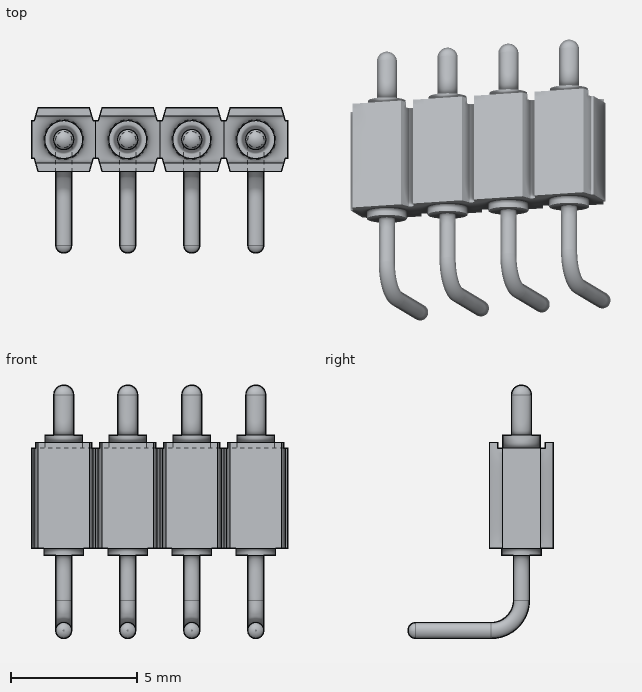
import cadquery as cq

pitch = 2.54
contact_count = 4

housing_depth = 2.54
housing_height = 4.2
side_face_width = 1.5
notch_step = 0.1
front_face_width = 2.04
channel_width = 1.87
channel_depth = 0.22

upper_collar_diameter = 1.5
upper_collar_top = 4.49
lower_collar_diameter = 1.58
lower_collar_height = 0.28

upper_pin_diameter = 0.8
upper_pin_top = 6.48

tail_diameter = 0.64
tail_tip_fillet = 0.3
bend_radius = 1.2
tail_axis_z = -3.26
tail_reach = 4.5


def make_housing():
    """Segment with notched corners and a channel along its top."""
    half_pitch = pitch / 2
    half_depth = housing_depth / 2
    half_side = side_face_width / 2
    half_front = front_face_width / 2
    notch_x = half_pitch - notch_step
    block = (
        cq.Workplane("XY")
        .moveTo(half_pitch, -half_side)
        .lineTo(half_pitch, half_side)
        .lineTo(notch_x, half_side)
        .lineTo(half_front, half_depth)
        .lineTo(-half_front, half_depth)
        .lineTo(-notch_x, half_side)
        .lineTo(-half_pitch, half_side)
        .lineTo(-half_pitch, -half_side)
        .lineTo(-notch_x, -half_side)
        .lineTo(-half_front, -half_depth)
        .lineTo(half_front, -half_depth)
        .lineTo(notch_x, -half_side)
        .close()
        .extrude(housing_height)
    )
    channel = (
        cq.Workplane("XY", origin=(0, 0, housing_height - channel_depth))
        .rect(pitch, channel_width)
        .extrude(channel_depth)
    )
    return block.cut(channel)


def make_upper_pin():
    """Collar and straight pin with a domed tip, rising from the channel floor."""
    channel_floor = housing_height - channel_depth
    pin_radius = upper_pin_diameter / 2
    dome_base = upper_pin_top - pin_radius
    collar = (
        cq.Workplane("XY", origin=(0, 0, channel_floor))
        .circle(upper_collar_diameter / 2)
        .extrude(upper_collar_top - channel_floor)
    )
    shaft = (
        cq.Workplane("XY", origin=(0, 0, channel_floor))
        .circle(pin_radius)
        .extrude(dome_base - channel_floor)
    )
    dome = (
        cq.Workplane("XZ", origin=(0, 0, dome_base))
        .lineTo(pin_radius, 0)
        .radiusArc((0, pin_radius), -pin_radius)
        .close()
        .revolve(360, (0, 0), (0, 1))
    )
    return collar.union(shaft).union(dome)


def make_tail():
    """Lower collar and the tail that bends from -Z to -Y and ends in a rounded tip."""
    tail_radius = tail_diameter / 2
    bend_start_z = tail_axis_z + bend_radius
    collar = cq.Workplane("XY").circle(lower_collar_diameter / 2).extrude(-lower_collar_height)
    drop = cq.Workplane("XY").circle(tail_radius).extrude(bend_start_z)
    bend = (
        cq.Workplane("XY", origin=(0, 0, bend_start_z))
        .circle(tail_radius)
        .revolve(90, (1, -bend_radius), (0, -bend_radius))
    )
    run = (
        cq.Workplane("XZ", origin=(0, -bend_radius, tail_axis_z))
        .circle(tail_radius)
        .extrude(tail_reach - bend_radius)
        .faces("<Y")
        .edges()
        .fillet(tail_tip_fillet)
    )
    return collar.union(drop).union(bend).union(run)


contact = make_housing().union(make_upper_pin()).union(make_tail())
first_x = -pitch * (contact_count - 1) / 2
contacts = [contact.translate((first_x + i * pitch, 0, 0)) for i in range(contact_count)]

result = cq.Compound.makeCompound([body.val() for body in contacts])